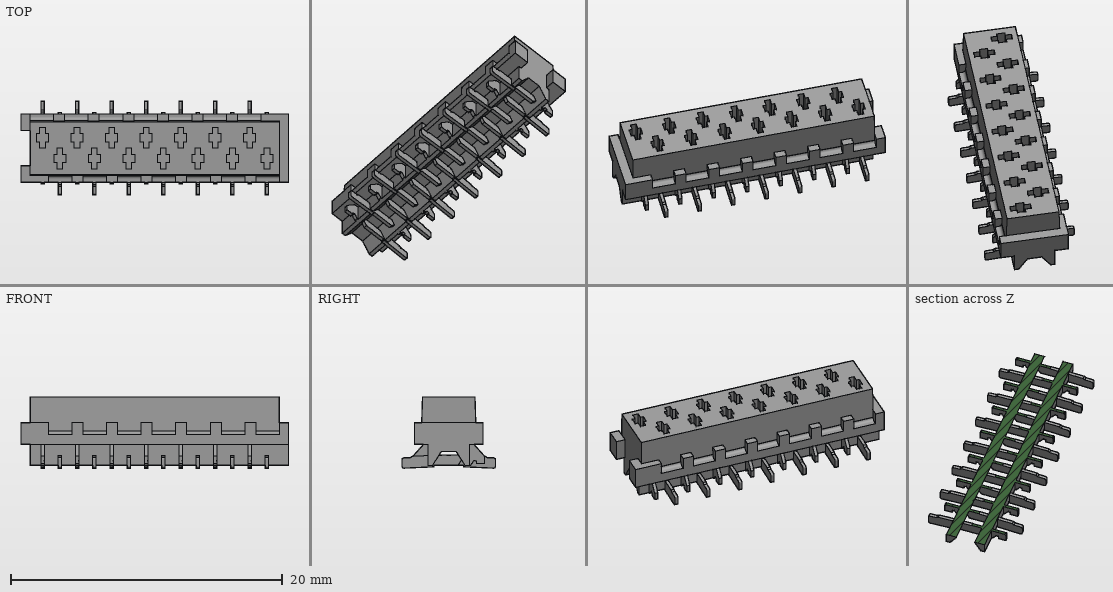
import cadquery as cq
import math

CONTACT_COUNT = 14
PITCH = 1.27
ROW_PITCH = 2 * PITCH
FIRST_CONTACT_X = -PITCH * (CONTACT_COUNT - 1) / 2

LEG_BOTTOM_Z = 0.22
TUNNEL_ROOF_Z = 1.23
FLANGE_BOTTOM_Z = 1.76
FLANGE_TOP_Z = 3.37
BODY_TOP_Z = 5.25

FLANGE_LENGTH = 19.71
FLANGE_WIDTH = 5.05
FLANGE_END_X = FLANGE_LENGTH / 2
BODY_END_X = 9.165
BODY_TOP_WIDTH = 3.88
BODY_BASE_WIDTH = 4.10
BASE_WIDTH = 3.02
ARM_GAP = 2.56
TUNNEL_ROOF_WIDTH = 1.08
TUNNEL_MOUTH_WIDTH = 2.39

NOTCH_LENGTH = 1.73
NOTCH_FLOOR_Z = 2.49
NOTCH_FLOOR_WIDTH = 0.24
NOTCH_FILLET_RADIUS = 0.25

SOCKET_ROW_Y = 0.76
SOCKET_LENGTH = 1.53
SOCKET_SLOT_WIDTH = 0.42
SOCKET_ARM_SPAN = 0.87
SOCKET_ARM_WIDTH = 0.60
SOCKET_DEPTH = 3.0

CONTACT_THICKNESS = 0.25
LEAD_TIP_Y = 3.45
LEAD_TIP_TOP_Z = 0.77
LEAD_TIP_RADIUS = 0.16
LEAD_HEEL_Y = 1.10
LEAD_HEEL_Z = 0.10
LEAD_HEEL_BEVEL = 0.03
LEAD_STEP_Y = 2.67
LEAD_STEP_TOP_Z = 0.90
LEAD_STEP_FOOT_Y = 2.81
LEAD_STEP_FOOT_Z = 0.795
WEB_END_Y = -0.68
WEB_TOP_Z = 1.01
RELIEF_START_Y = -0.92
RELIEF_Z = 0.58
STUB_ROOT_Y = -1.30
STUB_HEEL_Y = -1.60
STUB_CREST_Y = -1.87
STUB_STEP_Y = -2.04
STUB_STEP_Z = 0.53
STUB_BOTTOM_Z = 0.34
STUB_END_Y = -2.633
STUB_END_TOP_Z = 0.90
STUB_FLANGE_Y = -1.86


def prism_along_x(points, start_x, end_x):
    """Extrude a closed (y, z) outline from start_x to end_x."""
    outline = cq.Workplane("YZ").workplane(offset=start_x).polyline(points).close()
    return outline.extrude(end_x - start_x)


def block(start_x, end_x, width, bottom_z, top_z):
    """Box centred on Y between the given X and Z limits."""
    size = (end_x - start_x, width, top_z - bottom_z)
    return cq.Workplane("XY").box(*size, centered=(False, True, False)).translate((start_x, 0, bottom_z))


def make_body():
    """Upper block with slightly drafted long sides."""
    half_base = BODY_BASE_WIDTH / 2
    half_top = BODY_TOP_WIDTH / 2
    section = [
        (-half_base, FLANGE_BOTTOM_Z),
        (half_base, FLANGE_BOTTOM_Z),
        (half_top, BODY_TOP_Z),
        (-half_top, BODY_TOP_Z),
    ]
    return prism_along_x(section, -BODY_END_X, BODY_END_X)


def make_base():
    """Lower block, hollowed by a tapered tunnel that leaves two legs."""
    base = block(-BODY_END_X, FLANGE_END_X, BASE_WIDTH, LEG_BOTTOM_Z, FLANGE_BOTTOM_Z)
    half_roof = TUNNEL_ROOF_WIDTH / 2
    half_mouth = TUNNEL_MOUTH_WIDTH / 2
    tunnel = [
        (-half_mouth, LEG_BOTTOM_Z),
        (half_mouth, LEG_BOTTOM_Z),
        (half_roof, TUNNEL_ROOF_Z),
        (-half_roof, TUNNEL_ROOF_Z),
    ]
    return base.cut(prism_along_x(tunnel, -BODY_END_X, FLANGE_END_X))


def make_notch(start_x):
    """Cutter for one notch on the -Y side: flat floor, then a concave fillet up to the body."""
    outer_y = -FLANGE_WIDTH / 2
    fillet_start_y = outer_y + NOTCH_FLOOR_WIDTH
    fillet_end_y = fillet_start_y + NOTCH_FILLET_RADIUS
    fillet_top_z = NOTCH_FLOOR_Z + NOTCH_FILLET_RADIUS
    arc_offset = NOTCH_FILLET_RADIUS * math.sqrt(0.5)
    arc_middle = (fillet_start_y + arc_offset, fillet_top_z - arc_offset)
    section = (
        cq.Workplane("YZ")
        .workplane(offset=start_x)
        .moveTo(outer_y, NOTCH_FLOOR_Z)
        .lineTo(fillet_start_y, NOTCH_FLOOR_Z)
        .threePointArc(arc_middle, (fillet_end_y, fillet_top_z))
        .lineTo(-BODY_TOP_WIDTH / 2, fillet_top_z)
        .lineTo(-BODY_TOP_WIDTH / 2, FLANGE_TOP_Z)
        .lineTo(outer_y, FLANGE_TOP_Z)
        .close()
    )
    return section.extrude(NOTCH_LENGTH)


def make_flange():
    """Castellated flange whose -X end is split into two arms."""
    flange = block(-FLANGE_END_X, FLANGE_END_X, FLANGE_WIDTH, FLANGE_BOTTOM_Z, FLANGE_TOP_Z)
    flange = flange.cut(block(-FLANGE_END_X, -BODY_END_X, ARM_GAP, FLANGE_BOTTOM_Z, FLANGE_TOP_Z))
    for index in range(CONTACT_COUNT // 2):
        notch = make_notch(BODY_END_X - NOTCH_LENGTH - index * ROW_PITCH)
        flange = flange.cut(notch)
        flange = flange.cut(notch.rotate((0, 0, 0), (0, 0, 1), 180))
    return flange


def make_sockets():
    """Cutter for all the cross-shaped openings in the top face."""
    centres = []
    for index in range(CONTACT_COUNT):
        side = 1 if index % 2 == 0 else -1
        centres.append((FIRST_CONTACT_X + index * PITCH, side * SOCKET_ROW_Y))
    plane = cq.Workplane("XY").workplane(offset=BODY_TOP_Z).pushPoints(centres)
    slots = plane.rect(SOCKET_SLOT_WIDTH, SOCKET_LENGTH).extrude(-SOCKET_DEPTH)
    arms = plane.rect(SOCKET_ARM_SPAN, SOCKET_ARM_WIDTH).extrude(-SOCKET_DEPTH)
    return slots.union(arms)


def make_contact():
    """Flat contact at X = 0: solder lead toward +Y, angled stub toward -Y."""
    half = CONTACT_THICKNESS / 2
    underside_angle = math.atan2(LEAD_HEEL_Z, LEAD_TIP_Y - LEAD_HEEL_Y)
    tip_corner_z = -LEAD_TIP_RADIUS * math.tan(underside_angle)
    lead_underside = [
        (LEAD_TIP_Y, tip_corner_z),
        (LEAD_HEEL_Y, LEAD_HEEL_Z),
        (LEAD_HEEL_Y - LEAD_HEEL_BEVEL, LEG_BOTTOM_Z),
    ]
    web_underside = [
        (WEB_END_Y, LEG_BOTTOM_Z),
        (RELIEF_START_Y, RELIEF_Z),
        (STUB_ROOT_Y, RELIEF_Z),
        (STUB_ROOT_Y, LEG_BOTTOM_Z),
    ]
    stub = [
        (STUB_HEEL_Y, LEG_BOTTOM_Z),
        (STUB_CREST_Y, RELIEF_Z),
        (STUB_STEP_Y, STUB_STEP_Z),
        (STUB_STEP_Y, STUB_BOTTOM_Z),
        (STUB_END_Y, STUB_BOTTOM_Z),
        (STUB_END_Y, STUB_END_TOP_Z),
        (STUB_FLANGE_Y, FLANGE_BOTTOM_Z),
        (STUB_ROOT_Y, FLANGE_BOTTOM_Z),
    ]
    top = [
        (STUB_ROOT_Y, WEB_TOP_Z),
        (LEAD_STEP_Y, LEAD_STEP_TOP_Z),
        (LEAD_STEP_FOOT_Y, LEAD_STEP_FOOT_Z),
        (LEAD_TIP_Y, LEAD_TIP_TOP_Z),
    ]
    contact = prism_along_x(lead_underside + web_underside + stub + top, -half, half)
    return contact.faces(">Y").edges("|X").fillet(LEAD_TIP_RADIUS)


def make_connector():
    """Housing with contacts whose leads leave alternately toward +Y and -Y."""
    connector = make_body().union(make_base()).union(make_flange()).cut(make_sockets())
    contact = make_contact()
    reversed_contact = contact.rotate((0, 0, 0), (0, 0, 1), 180)
    for index in range(CONTACT_COUNT):
        plate = contact if index % 2 == 0 else reversed_contact
        connector = connector.union(plate.translate((FIRST_CONTACT_X + index * PITCH, 0, 0)))
    return connector


result = make_connector()